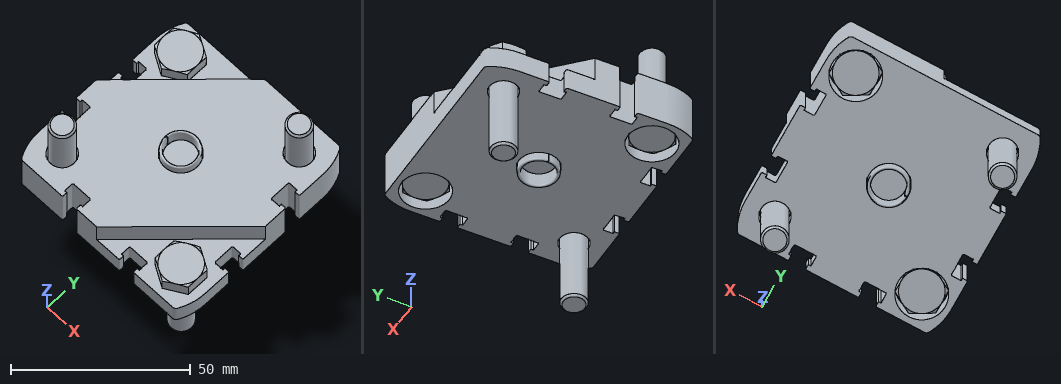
import cadquery as cq
import math

SIDE = 65.5
HALF = SIDE / 2
HEIGHT = 15.0
LEDGE_HEIGHT = 7.0
LEDGE_INTERCEPT = 32.3
CORNER_RADIUS = 18.0
CORNER_EDGE_RADIUS = 1.4

SLOT_OFFSET = 11.15
SLOT_MOUTH = 5.4
SLOT_LIP = 1.7
SLOT_WIDTH = 7.0
SLOT_DEPTH = 4.9
SLOT_RADIUS = 0.4

BOLT_OFFSET = 23.3
BOLT_DIAMETER = 8.0
BOLT_CHAMFER = 0.65
CLEARANCE_DIAMETER = 9.0
WASHER_FACE_DIAMETER = 11.65
WASHER_FACE_HEIGHT = 0.5
HEAD_FLATS = 13.0
HEAD_CORNERS = HEAD_FLATS / math.cos(math.pi / 6)
HEAD_HEIGHT = 5.3
HEAD_CHAMFER_ANGLE = math.radians(20)
DOWN_TIP = -23.05
UP_TIP = 32.95
HEAD_BORE_DIAMETER = 15.0
HEAD_BORE_DEPTH = HEIGHT - LEDGE_HEIGHT

RING_DIAMETER = 12.0
RING_BORE = 10.2
RING_LENGTH = 4.5
RING_PROJECTION = 2.35
RING_SLIT = 0.2
RING_SEAT_DIAMETER = 12.5
RING_SEAT_DEPTH = RING_LENGTH - RING_PROJECTION

DOWN_BOLT_PLACES = [(-BOLT_OFFSET, BOLT_OFFSET), (BOLT_OFFSET, -BOLT_OFFSET)]
UP_BOLT_PLACES = [(-BOLT_OFFSET, -BOLT_OFFSET), (BOLT_OFFSET, BOLT_OFFSET)]
ALL_BOLT_PLACES = DOWN_BOLT_PLACES + UP_BOLT_PLACES


def housing_block():
    """Square block whose X sides curve in to the Y sides at the corners."""
    arc_centre_x = HALF - CORNER_RADIUS
    rise = HALF - BOLT_OFFSET
    end_angle = math.asin(rise / CORNER_RADIUS)
    end_x = arc_centre_x + CORNER_RADIUS * math.cos(end_angle)
    mid_x = arc_centre_x + CORNER_RADIUS * math.cos(end_angle / 2)
    mid_y = BOLT_OFFSET + CORNER_RADIUS * math.sin(end_angle / 2)
    outline = (
        cq.Workplane("XY")
        .moveTo(HALF, -BOLT_OFFSET)
        .lineTo(HALF, BOLT_OFFSET)
        .threePointArc((mid_x, mid_y), (end_x, HALF))
        .lineTo(-end_x, HALF)
        .threePointArc((-mid_x, mid_y), (-HALF, BOLT_OFFSET))
        .lineTo(-HALF, -BOLT_OFFSET)
        .threePointArc((-mid_x, -mid_y), (-end_x, -HALF))
        .lineTo(end_x, -HALF)
        .threePointArc((mid_x, -mid_y), (HALF, -BOLT_OFFSET))
        .close()
    )
    block = outline.extrude(HEIGHT)
    return block.faces("<Y or >Y").edges("|Z").fillet(CORNER_EDGE_RADIUS)


def ledge_cut(side_sign):
    """Triangular prism removed above one stepped corner; +1 is the (-X, +Y) corner."""
    reach = SIDE
    corners = [
        (-reach, LEDGE_INTERCEPT - reach),
        (reach, LEDGE_INTERCEPT + reach),
        (-reach, LEDGE_INTERCEPT + reach),
    ]
    return (
        cq.Workplane("XY")
        .workplane(offset=LEDGE_HEIGHT)
        .polyline([(side_sign * x, side_sign * y) for x, y in corners])
        .close()
        .extrude(HEIGHT - LEDGE_HEIGHT)
    )


def t_slot(offset):
    """Cutter for a full-height T-slot in the -Y side, centred on X = offset."""
    r = SLOT_RADIUS
    mouth = SLOT_MOUTH / 2
    half_width = SLOT_WIDTH / 2
    bulge = r * (1 - math.sqrt(0.5))
    lip_y = -HALF + SLOT_LIP
    floor_y = -HALF + SLOT_DEPTH
    return (
        cq.Workplane("XY")
        .moveTo(-mouth - r, -HALF)
        .threePointArc((-mouth - bulge, -HALF + bulge), (-mouth, -HALF + r))
        .lineTo(-mouth, lip_y)
        .lineTo(-half_width, lip_y)
        .lineTo(-half_width, floor_y - r)
        .threePointArc((-half_width + bulge, floor_y - bulge), (-half_width + r, floor_y))
        .lineTo(half_width - r, floor_y)
        .threePointArc((half_width - bulge, floor_y - bulge), (half_width, floor_y - r))
        .lineTo(half_width, lip_y)
        .lineTo(mouth, lip_y)
        .lineTo(mouth, -HALF + r)
        .threePointArc((mouth + bulge, -HALF + bulge), (mouth + r, -HALF))
        .close()
        .extrude(HEIGHT)
        .translate((offset, 0, 0))
    )


def make_housing():
    """Stepped block with T-slots, bolt holes and a ring seat in each face."""
    body = housing_block()

    for side_sign in (-1, 1):
        body = body.cut(ledge_cut(side_sign))

    for turn in (-90, 0, 90):
        for offset in (-SLOT_OFFSET, SLOT_OFFSET):
            body = body.cut(t_slot(offset).rotate((0, 0, 0), (0, 0, 1), turn))

    clearance = cq.Workplane("XY").pushPoints(ALL_BOLT_PLACES).circle(CLEARANCE_DIAMETER / 2)
    body = body.cut(clearance.extrude(HEIGHT))

    head_bores = cq.Workplane("XY").pushPoints(UP_BOLT_PLACES).circle(HEAD_BORE_DIAMETER / 2)
    body = body.cut(head_bores.extrude(HEAD_BORE_DEPTH))

    for seat_bottom in (0, HEIGHT - RING_SEAT_DEPTH):
        seat = cq.Workplane("XY").circle(RING_SEAT_DIAMETER / 2).extrude(RING_SEAT_DEPTH)
        body = body.cut(seat.translate((0, 0, seat_bottom)))
    return body


def make_bolt(shank_length):
    """Hex bolt pointing down, with the underside of its washer face at Z = 0."""
    hexagon_height = HEAD_HEIGHT - WASHER_FACE_HEIGHT
    hexagon = (
        cq.Workplane("XY")
        .workplane(offset=WASHER_FACE_HEIGHT)
        .polygon(6, HEAD_CORNERS)
        .extrude(hexagon_height)
        .rotate((0, 0, 0), (0, 0, 1), 30)
    )
    cone_radius = HEAD_FLATS / 2 + hexagon_height / math.tan(HEAD_CHAMFER_ANGLE)
    trim_cone = (
        cq.Workplane("XZ")
        .moveTo(0, WASHER_FACE_HEIGHT)
        .lineTo(cone_radius, WASHER_FACE_HEIGHT)
        .lineTo(HEAD_FLATS / 2, HEAD_HEIGHT)
        .lineTo(0, HEAD_HEIGHT)
        .close()
        .revolve(360, (0, 0, 0), (0, 1, 0))
    )
    washer_face = cq.Workplane("XY").circle(WASHER_FACE_DIAMETER / 2).extrude(WASHER_FACE_HEIGHT)
    shank = (
        cq.Workplane("XY")
        .circle(BOLT_DIAMETER / 2)
        .extrude(-shank_length)
        .faces("<Z")
        .chamfer(BOLT_CHAMFER)
    )
    return hexagon.intersect(trim_cone).union(washer_face).union(shank)


def make_ring():
    """Slit centring ring standing on Z = 0, with a fully rounded outer rim."""
    inner = RING_BORE / 2
    outer = RING_DIAMETER / 2
    rim_radius = (outer - inner) / 2
    rim_start = RING_LENGTH - rim_radius
    ring = (
        cq.Workplane("XZ")
        .moveTo(-inner, 0)
        .lineTo(-outer, 0)
        .lineTo(-outer, rim_start)
        .threePointArc((-inner - rim_radius, RING_LENGTH), (-inner, rim_start))
        .close()
        .revolve(360, (0, 0, 0), (0, 1, 0))
    )
    slit = cq.Workplane("XY").box(RING_DIAMETER, RING_SLIT, RING_LENGTH, centered=(True, True, False))
    return ring.cut(slit.translate((-RING_DIAMETER / 2, 0, 0)))


housing = make_housing()

bolts = []
for x, y in DOWN_BOLT_PLACES:
    bolt = make_bolt(LEDGE_HEIGHT - DOWN_TIP)
    bolts.append(bolt.translate((x, y, LEDGE_HEIGHT)))
for x, y in UP_BOLT_PLACES:
    bolt = make_bolt(UP_TIP - HEAD_BORE_DEPTH)
    upturned = bolt.rotate((0, 0, 0), (1, 0, 0), 180)
    bolts.append(upturned.translate((x, y, HEAD_BORE_DEPTH)))

top_ring = make_ring().translate((0, 0, HEIGHT - RING_SEAT_DEPTH))
bottom_ring = make_ring().rotate((0, 0, 0), (1, 0, 0), 180).translate((0, 0, RING_SEAT_DEPTH))
rings = [top_ring, bottom_ring]

result = cq.Compound.makeCompound(
    [housing.val()] + [bolt.val() for bolt in bolts] + [ring.val() for ring in rings]
)